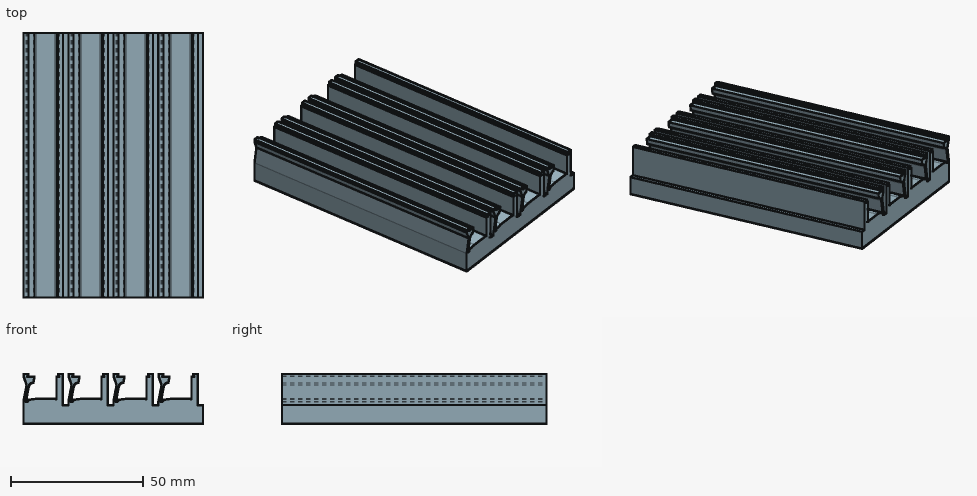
import cadquery as cq
import math

channel_count = 4
pitch = 17.0
length = 100.0
height = 18.9
width = channel_count * pitch

gap_floor_z = 7.1
arm_root_z = 8.25
neck_z = 14.6
ledge_z = 17.8
floor_crest_z = 9.5
floor_edge_z = 9.1

arm_lean_angle = 11.0
arm_lean = math.tan(math.radians(arm_lean_angle))
arm_width = 1.0
arm_outer_neck_x = arm_lean * (neck_z - arm_root_z)
head_outer_x = 0.12
head_inner_x = 4.3
head_bottom_z = 15.5
head_inner_bottom_x = head_inner_x - arm_lean * (ledge_z - head_bottom_z)
head_fillet_end_z = 14.0
head_fillet_end_x = arm_width + arm_lean * (head_fillet_end_z - arm_root_z)
head_fillet_mid = (2.65, 15.03)

lip_width = 1.9
lip_edge_height = 0.5
lip_undercut = 0.5

wall_inner_x = 12.5
wall_outer_x = 15.0

groove_bottom_x = 1.7
groove_bottom_z = 8.5
floor_start_x = 2.0
crest_start_x = 5.0
crest_end_x = 11.85
floor_end_z = 9.3


def add_arm(sketch, x):
    """Trace the flexible arm and its head, up its outer side and back down to its root."""
    lip_edge_x = x + head_outer_x + lip_width
    lip_edge_z = height - lip_edge_height
    return (
        sketch.lineTo(x, arm_root_z)
        .lineTo(x + arm_outer_neck_x, neck_z)
        .lineTo(x + head_outer_x, ledge_z)
        .lineTo(x + head_outer_x, height)
        .lineTo(lip_edge_x, height)
        .lineTo(lip_edge_x, lip_edge_z)
        .lineTo(lip_edge_x - lip_undercut, ledge_z)
        .lineTo(x + head_inner_x, ledge_z)
        .lineTo(x + head_inner_bottom_x, head_bottom_z)
        .threePointArc(
            (x + head_fillet_mid[0], head_fillet_mid[1]),
            (x + head_fillet_end_x, head_fillet_end_z),
        )
        .lineTo(x + arm_width, arm_root_z)
    )


def add_floor(sketch, x):
    """Trace the relief groove and the crowned floor up to the rigid wall."""
    return (
        sketch.lineTo(x + groove_bottom_x, groove_bottom_z)
        .lineTo(x + floor_start_x, floor_edge_z)
        .lineTo(x + crest_start_x, floor_crest_z)
        .lineTo(x + crest_end_x, floor_crest_z)
        .lineTo(x + wall_inner_x, floor_end_z)
    )


def add_wall(sketch, x):
    """Trace the rigid wall with its lip, then the gap floor up to the next channel."""
    lip_edge_x = x + wall_outer_x - lip_width
    lip_edge_z = height - lip_edge_height
    return (
        sketch.lineTo(x + wall_inner_x, ledge_z)
        .lineTo(lip_edge_x + lip_undercut, ledge_z)
        .lineTo(lip_edge_x, lip_edge_z)
        .lineTo(lip_edge_x, height)
        .lineTo(x + wall_outer_x, height)
        .lineTo(x + wall_outer_x, gap_floor_z)
        .lineTo(x + pitch, gap_floor_z)
    )


def make_profile():
    """Closed cross-section in the XZ plane, centred on X with its base at Z = 0."""
    left_x = -width / 2
    sketch = cq.Workplane("XZ").moveTo(left_x, 0)
    for index in range(channel_count):
        x = left_x + index * pitch
        sketch = add_arm(sketch, x)
        sketch = add_floor(sketch, x)
        sketch = add_wall(sketch, x)
    return sketch.lineTo(left_x + width, 0).close()


result = make_profile().extrude(length / 2, both=True)